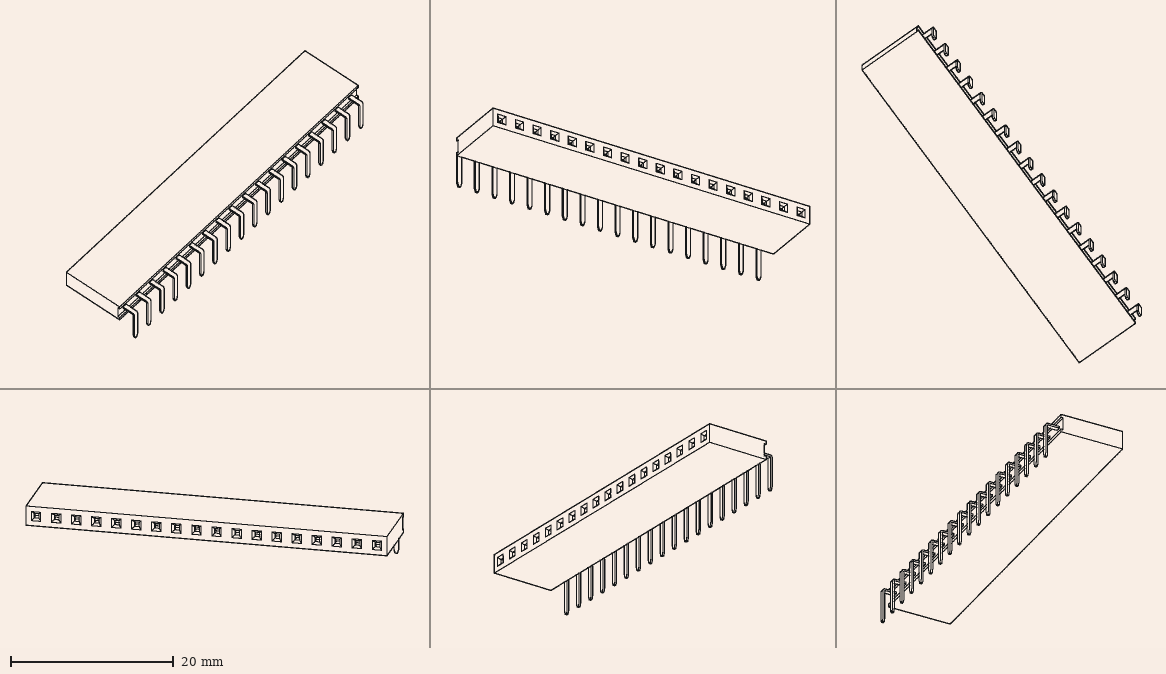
import cadquery as cq

total_width = 10.15
total_length = 45.7
total_height = 5.85

pin_count = 18
pitch = total_length / pin_count
housing_width = 8.55
housing_height = pitch
rail_depth = 0.27
rail_height = 0.435
centre_z = -housing_height / 2

mouth_size = 1.2
throat_size = 0.6
funnel_depth = (mouth_size - throat_size) / 2
socket_depth = 1.3

pin_thickness = 0.25
pin_width = 0.6
bend_radius = 0.295
pin_start_x = 0.7
tip_length = 0.5
tip_width = 0.295


def make_housing():
    block = cq.Workplane("XY").box(
        housing_width, total_length, housing_height, centered=(False, True, False)
    ).translate((0, 0, -housing_height))
    rear_channel = cq.Workplane("XY").box(
        rail_depth, total_length, housing_height - 2 * rail_height, centered=(False, True, True)
    ).translate((housing_width - rail_depth, 0, centre_z))
    return block.cut(rear_channel)


def make_socket(y):
    """Square funnel that narrows to a straight, blind throat."""
    mouth = cq.Workplane("YZ", origin=(0, y, centre_z))
    funnel = (
        mouth.rect(mouth_size, mouth_size)
        .workplane(offset=funnel_depth)
        .rect(throat_size, throat_size)
        .loft(ruled=True)
    )
    throat = mouth.rect(throat_size, throat_size).extrude(socket_depth)
    return funnel.union(throat)


def make_pin(y):
    """Flat strip running back through the housing, then bent down to a tapered tip."""
    top_z = centre_z + pin_thickness / 2
    inner_x = total_width - pin_thickness
    strip = (
        cq.Workplane("XZ", origin=(0, y + pin_width / 2, 0))
        .moveTo(pin_start_x, top_z)
        .lineTo(total_width - bend_radius, top_z)
        .radiusArc((total_width, top_z - bend_radius), bend_radius)
        .lineTo(total_width, -total_height)
        .lineTo(inner_x, -total_height)
        .lineTo(inner_x, top_z - pin_thickness)
        .lineTo(pin_start_x, top_z - pin_thickness)
        .close()
        .extrude(pin_width)
    )
    taper = (pin_width - tip_width) / 2
    for side in (-1, 1):
        edge_y = side * pin_width / 2
        corner = (
            cq.Workplane("YZ", origin=(0, y, -total_height))
            .polyline([(edge_y, 0), (edge_y - side * taper, 0), (edge_y, tip_length)])
            .close()
            .extrude(total_width)
        )
        strip = strip.cut(corner)
    return strip


pin_positions = [(i - (pin_count - 1) / 2) * pitch for i in range(pin_count)]

result = make_housing()
for y in pin_positions:
    result = result.cut(make_socket(y))
for y in pin_positions:
    result = result.union(make_pin(y))